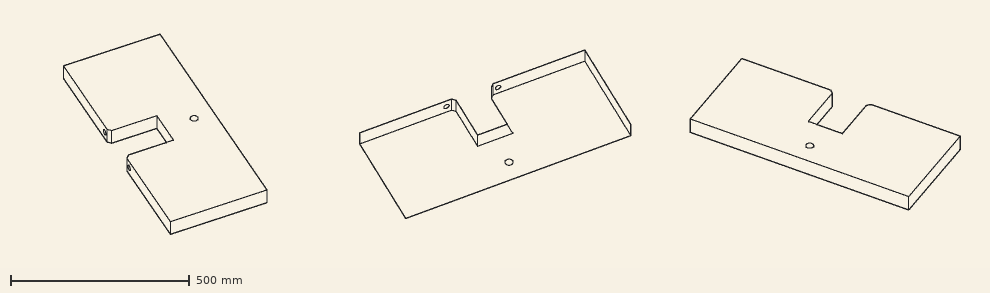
import cadquery as cq

length = 700.0
width = 300.0
thickness = 50.0

slot_width = 109.0
slot_depth = 150.0
mouth_chamfer = 10.0

through_hole_diameter = 22.5
through_hole_from_back = 60.0

front_hole_diameter = 16.0
front_hole_spacing = 160.0
front_hole_depth = 35.0

front_y = -width / 2
back_y = width / 2


def slot_cutter():
    """Slot with a mouth that widens at 45 degrees to the front face."""
    half_slot = slot_width / 2
    half_mouth = half_slot + mouth_chamfer
    slot_end_y = front_y + slot_depth
    chamfer_end_y = front_y + mouth_chamfer
    outline = [
        (-half_mouth, front_y),
        (-half_slot, chamfer_end_y),
        (-half_slot, slot_end_y),
        (half_slot, slot_end_y),
        (half_slot, chamfer_end_y),
        (half_mouth, front_y),
    ]
    return cq.Workplane("XY").polyline(outline).close().extrude(thickness / 2, both=True)


def through_hole_cutter():
    return (
        cq.Workplane("XY")
        .center(0, back_y - through_hole_from_back)
        .circle(through_hole_diameter / 2)
        .extrude(thickness / 2, both=True)
    )


def front_hole_cutters():
    half_spacing = front_hole_spacing / 2
    return (
        cq.Workplane("XZ", origin=(0, front_y, 0))
        .pushPoints([(-half_spacing, 0), (half_spacing, 0)])
        .circle(front_hole_diameter / 2)
        .extrude(-front_hole_depth)
    )


plate = cq.Workplane("XY").box(length, width, thickness)
result = plate.cut(slot_cutter()).cut(through_hole_cutter()).cut(front_hole_cutters())